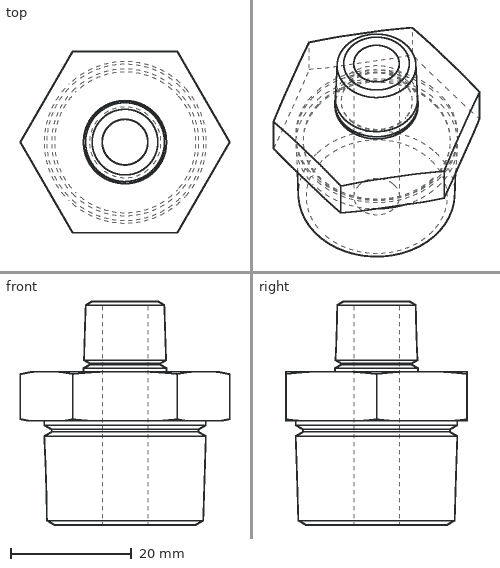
import cadquery as cq
import math

TOTAL_HEIGHT = 37.0
BORE_DIAMETER = 7.5
TAPER = 1 / 32
BEVEL_SLOPE = math.tan(math.radians(30))

HEX_ACROSS_FLATS = 30.0
HEX_ACROSS_CORNERS = HEX_ACROSS_FLATS / math.cos(math.radians(30))
HEX_BOTTOM = 17.2
HEX_TOP = 25.35
HEX_TOP_FACE_RADIUS = 15.4
HEX_BOTTOM_FACE_RADIUS = 15.9
HEX_BEVEL_SLOPE = 0.2

LARGE_RADIUS = 13.4
LARGE_COLLAR_HEIGHT = 0.7
LARGE_THREAD_START = 2.5
LARGE_GROOVE_RADIUS = 12.17
LARGE_GROOVE_FLAT = 0.4
LARGE_END_BEVEL = 0.75

SMALL_RADIUS = 6.8
SMALL_COLLAR_RADIUS = 6.9
SMALL_COLLAR_HEIGHT = 0.6
SMALL_THREAD_START = 1.92
SMALL_GROOVE_RADIUS = 5.9
SMALL_GROOVE_FLAT = 0.22
SMALL_END_BEVEL = 0.63


def revolve_profile(points):
    """Revolve a closed (radius, height) outline around the Z axis."""
    return cq.Workplane("XZ").polyline(points).close().revolve(360, (0, 0), (0, 1))


def threaded_end(root, direction, length, collar_radius, collar_height, groove_radius,
                 groove_flat, thread_start, thread_radius, end_bevel):
    """Collar, relief groove and tapered thread, running from the hexagon face at root."""
    bevel_start = length - end_bevel
    end_radius = thread_radius - TAPER * (bevel_start - thread_start)
    tip_radius = end_radius - end_bevel / BEVEL_SLOPE
    groove_middle = (collar_height + thread_start) / 2
    outline = [
        (0, 0),
        (collar_radius, 0),
        (collar_radius, collar_height),
        (groove_radius, groove_middle - groove_flat / 2),
        (groove_radius, groove_middle + groove_flat / 2),
        (thread_radius, thread_start),
        (end_radius, bevel_start),
        (tip_radius, length),
        (0, length),
    ]
    return revolve_profile([(r, root + direction * distance) for r, distance in outline])


def hexagon():
    """Hexagonal prism with its corners bevelled on both faces."""
    prism = (
        cq.Workplane("XY", origin=(0, 0, HEX_BOTTOM))
        .polygon(6, HEX_ACROSS_CORNERS)
        .extrude(HEX_TOP - HEX_BOTTOM)
    )
    rim = HEX_ACROSS_CORNERS / 2
    top_drop = HEX_BEVEL_SLOPE * (rim - HEX_TOP_FACE_RADIUS)
    bottom_rise = HEX_BEVEL_SLOPE * (rim - HEX_BOTTOM_FACE_RADIUS)
    envelope = revolve_profile([
        (0, HEX_BOTTOM),
        (HEX_BOTTOM_FACE_RADIUS, HEX_BOTTOM),
        (rim, HEX_BOTTOM + bottom_rise),
        (rim, HEX_TOP - top_drop),
        (HEX_TOP_FACE_RADIUS, HEX_TOP),
        (0, HEX_TOP),
    ])
    return prism.intersect(envelope)


large_end = threaded_end(
    HEX_BOTTOM, -1, HEX_BOTTOM, LARGE_RADIUS, LARGE_COLLAR_HEIGHT, LARGE_GROOVE_RADIUS,
    LARGE_GROOVE_FLAT, LARGE_THREAD_START, LARGE_RADIUS, LARGE_END_BEVEL,
)
small_end = threaded_end(
    HEX_TOP, 1, TOTAL_HEIGHT - HEX_TOP, SMALL_COLLAR_RADIUS, SMALL_COLLAR_HEIGHT, SMALL_GROOVE_RADIUS,
    SMALL_GROOVE_FLAT, SMALL_THREAD_START, SMALL_RADIUS, SMALL_END_BEVEL,
)

bore = cq.Workplane("XY").circle(BORE_DIAMETER / 2).extrude(TOTAL_HEIGHT)

result = hexagon().union(large_end).union(small_end).cut(bore)